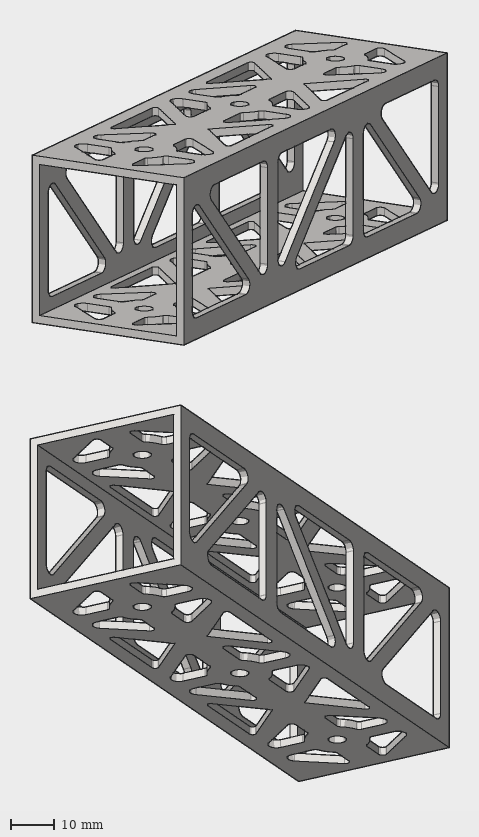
import cadquery as cq
import math

side = 40.0
outer_span = 116.1
turn_angle = -45.0
length = outer_span * math.sqrt(2) - side
wall = 2.0

cell_pitch = 45.0
hole_diameter = 4.2
boss_radius = 7.5
spoke_half_width = 5.0 / 2
strut_half_width = 7.9 / 2
middle_reach = (20.9, 20.9)
end_reach = (17.4, 22.6)
cell_outer_fillet = 2.0
cell_strut_fillet = 1.0
boss_fillet = 1.0

triangle_apex = 4.3
triangle_base = 15.9
triangle_fillet = 0.8

bay_count = 3
bay_end_margin = 4.1
bay_rib = 4.9
bay_edge_margin = 5.1
bay_length = (length - 2 * bay_end_margin - (bay_count - 1) * bay_rib) / bay_count
bay_height = side - 2 * bay_edge_margin
brace_fillet = 2.0

cut_depth = 2 * side


def rounded_prism(corners, fillets):
    """Prism along Z, centred on the XY plane; a fillet of 0 leaves that corner sharp."""
    prism = cq.Workplane("XY").polyline(corners).close().extrude(cut_depth / 2, both=True)
    for (x, y), radius in zip(corners, fillets):
        if radius > 0:
            prism = prism.edges(cq.selectors.NearestToPointSelector((x, y, 0))).fillet(radius)
    return prism


def cell_window(reach):
    """Window in the +X +Y quarter of a cell, clear of the disc around the hole."""
    reach_x, reach_y = reach
    tip_x = reach_x * (1 - strut_half_width / reach_y)
    tip_y = reach_y * (1 - spoke_half_width / reach_x)
    corners = [
        (spoke_half_width, strut_half_width),
        (tip_x, strut_half_width),
        (spoke_half_width, tip_y),
    ]
    boss = cq.Workplane("XY").circle(boss_radius).extrude(cut_depth, both=True)
    window = rounded_prism(corners, [0, cell_strut_fillet, cell_outer_fillet]).cut(boss)
    spoke_corner = (spoke_half_width, math.sqrt(boss_radius**2 - spoke_half_width**2), 0)
    strut_corner = (math.sqrt(boss_radius**2 - strut_half_width**2), strut_half_width, 0)
    for corner in (spoke_corner, strut_corner):
        window = window.edges(cq.selectors.NearestToPointSelector(corner)).fillet(boss_fillet)
    return window


def cut_cell(body, x, reach):
    """Centre hole with four mirrored windows around it."""
    window = cell_window(reach)
    pair = window.union(window.mirror("YZ"))
    hole = cq.Workplane("XY").circle(hole_diameter / 2).extrude(cut_depth / 2, both=True)
    cutter = pair.union(pair.mirror("XZ")).union(hole)
    return body.cut(cutter.translate((x, 0, 0)))


def cut_triangle_pair(body, x):
    """Two right-angled triangles whose apexes face each other across the tube axis."""
    half_base = triangle_base - triangle_apex
    corners = [(0, triangle_apex), (half_base, triangle_base), (-half_base, triangle_base)]
    triangle = rounded_prism(corners, [0, triangle_fillet, triangle_fillet])
    cutter = triangle.union(triangle.mirror("XZ"))
    return body.cut(cutter.translate((x, 0, 0)))


def cut_bay(body, x, flipped):
    """Two 45 degree triangles beside a diagonal brace that rises toward +X, or toward -X if flipped."""
    left = -bay_length / 2
    top = bay_height / 2
    corners = [(left, top), (left + bay_height, top), (left, -top)]
    upper = rounded_prism(corners, [brace_fillet] * len(corners))
    lower = upper.rotate((0, 0, 0), (0, 0, 1), 180)
    cutter = upper.union(lower)
    if flipped:
        cutter = cutter.mirror("YZ")
    upright = cutter.rotate((0, 0, 0), (1, 0, 0), 90)
    return body.cut(upright.translate((x, 0, 0)))


inner_side = side - 2 * wall
tube = cq.Workplane("XY").box(length, side, side)
tube = tube.cut(cq.Workplane("XY").box(length, inner_side, inner_side))

tube = cut_cell(tube, 0, middle_reach)
for direction in (-1, 1):
    tube = cut_cell(tube, direction * cell_pitch, end_reach)
    tube = cut_triangle_pair(tube, direction * cell_pitch / 2)

middle_bay = bay_count // 2
for bay in range(bay_count):
    bay_x = (bay - middle_bay) * (bay_length + bay_rib)
    tube = cut_bay(tube, bay_x, flipped=(bay == middle_bay))

result = tube.rotate((0, 0, 0), (0, 0, 1), turn_angle)